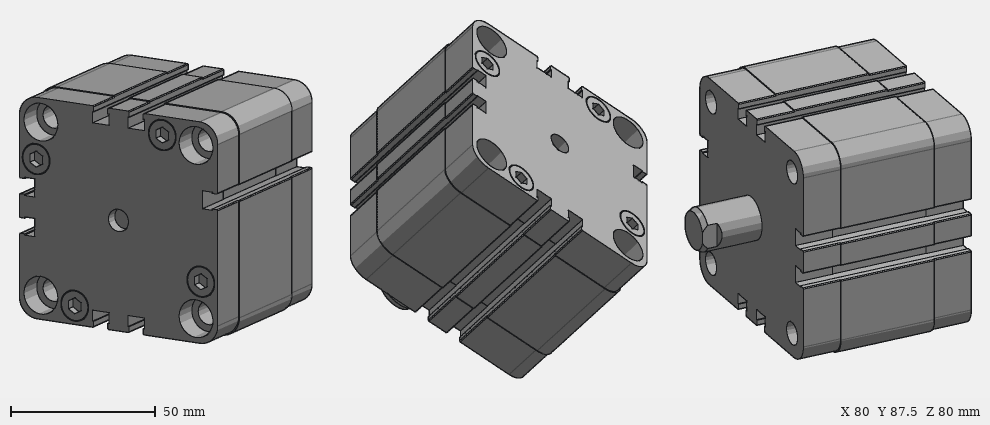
import cadquery as cq
import math


overall_length = 87.5
barrel_side = 80.0
cap_step = 0.35
cap_side = barrel_side - 2 * cap_step
corner_radius = 7.2
cap_length = 14.4
body_length = 65.1
barrel_length = body_length - 2 * cap_length

rod_diameter = 16.0
rod_chamfer_length = 2.0
rod_chamfer_depth = 1.05
flat_width = 13.3
flat_length = 5.6
flat_ramp = (rod_diameter - flat_width) / 2

slot_neck_width = 5.6
slot_width = 6.5
cap_slot_depth = 6.5
barrel_slot_depth = 6.65
slot_neck_depth = 2.5
slot_lip_chamfer = 0.35
paired_slot_offset = 7.1
single_slot_offset = 11.9

mount_offset = 31.0
mount_bore = 8.4
mount_counterbore = 13.5
mount_counterbore_depth = 8.75

screw_far_offset = 32.9
screw_near_offset = 17.5
screw_recess = 11.1
screw_head = 10.5
screw_head_height = 6.0
hex_across_flats = 5.0
hex_depth = 3.15

centre_bore = 8.0
centre_bore_depth = 4.4


def cylinder_y(diameter, y_start, length, x=0.0, z=0.0):
    """Round bar along +Y."""
    axis_start = cq.Vector(x, y_start, z)
    return cq.Workplane(obj=cq.Solid.makeCylinder(diameter / 2, length, axis_start, cq.Vector(0, 1, 0)))


def body_segment(side, y_start, length):
    """Square block with rounded edges along Y."""
    block = cq.Workplane("XY").box(side, length, side)
    return block.edges("|Y").fillet(corner_radius).translate((0, y_start + length / 2, 0))


def slot_cutter(side, y_start, length, depth, offset):
    """Undercut slot along Y in the +Z side of a segment, centred at X = offset."""
    half_neck = slot_neck_width / 2
    half_slot = slot_width / 2
    half_mouth = half_neck + slot_lip_chamfer
    surface = side / 2
    floor = barrel_side / 2 - depth
    shoulder = barrel_side / 2 - slot_neck_depth
    above = barrel_side / 2 + slot_lip_chamfer
    right_half = [
        (half_slot, floor),
        (half_slot, shoulder),
        (half_neck, shoulder),
        (half_neck, surface - slot_lip_chamfer),
        (half_mouth, surface),
        (half_mouth, above),
    ]
    left_half = [(-x, z) for x, z in reversed(right_half)]
    profile = cq.Workplane("XZ", origin=(offset, y_start, 0)).polyline(right_half + left_half).close()
    return profile.extrude(-length)


def slotted_segment(side, y_start, length, slot_depth):
    """Body segment with paired slots on -X, +Z and -Z and a single slot on +X."""
    segment = body_segment(side, y_start, length)
    slots = [(turn, offset) for turn in (0, 180, 270) for offset in (-paired_slot_offset, paired_slot_offset)]
    slots.append((90, -single_slot_offset))
    for turn, offset in slots:
        cutter = slot_cutter(side, y_start, length, slot_depth, offset)
        segment = segment.cut(cutter.rotate((0, 0, 0), (0, 1, 0), turn))
    return segment


def make_body():
    head_cap = slotted_segment(cap_side, 0, cap_length, cap_slot_depth)
    barrel = slotted_segment(barrel_side, cap_length, barrel_length, barrel_slot_depth)
    rod_cap = slotted_segment(cap_side, cap_length + barrel_length, cap_length, cap_slot_depth)
    return head_cap.union(barrel).union(rod_cap)


def make_rod():
    """Rod with a tapered tip and two wrench flats facing -X and +X."""
    radius = rod_diameter / 2
    outline = [
        (0, cap_length),
        (radius, cap_length),
        (radius, overall_length - rod_chamfer_length),
        (radius - rod_chamfer_depth, overall_length),
        (0, overall_length),
    ]
    rod = cq.Workplane("XY").polyline(outline).close().revolve(360, (0, 0, 0), (0, 1, 0))
    flat_end = overall_length - flat_length
    flat_cutter = (
        cq.Workplane("XY")
        .polyline([
            (flat_width / 2, overall_length),
            (flat_width / 2, flat_end),
            (radius, flat_end - flat_ramp),
            (radius, overall_length),
        ])
        .close()
        .extrude(radius, both=True)
    )
    return rod.cut(flat_cutter).cut(flat_cutter.mirror("YZ"))


def cut_mounting_holes(part):
    for x in (-mount_offset, mount_offset):
        for z in (-mount_offset, mount_offset):
            part = part.cut(cylinder_y(mount_bore, 0, body_length, x, z))
            part = part.cut(cylinder_y(mount_counterbore, 0, mount_counterbore_depth, x, z))
    return part


def cut_cap_screws(part):
    """Recessed socket screws: a thin ring gap around each flush head and a hexagon socket."""
    recess = cylinder_y(screw_recess, 0, screw_head_height)
    ring_gap = recess.cut(cylinder_y(screw_head, 0, screw_head_height))
    hex_diameter = hex_across_flats / math.cos(math.pi / 6)
    socket = cq.Workplane("XZ").polygon(6, hex_diameter).extrude(-hex_depth)
    socket = socket.rotate((0, 0, 0), (0, 1, 0), 90)
    far, near = screw_far_offset, screw_near_offset
    for x, z in ((-far, near), (near, far), (far, -near), (-near, -far)):
        for cutter in (ring_gap, socket):
            part = part.cut(cutter.translate((x, 0, z)))
    return part


result = make_body().union(make_rod())
result = cut_mounting_holes(result)
result = cut_cap_screws(result)
result = result.cut(cylinder_y(centre_bore, 0, centre_bore_depth))